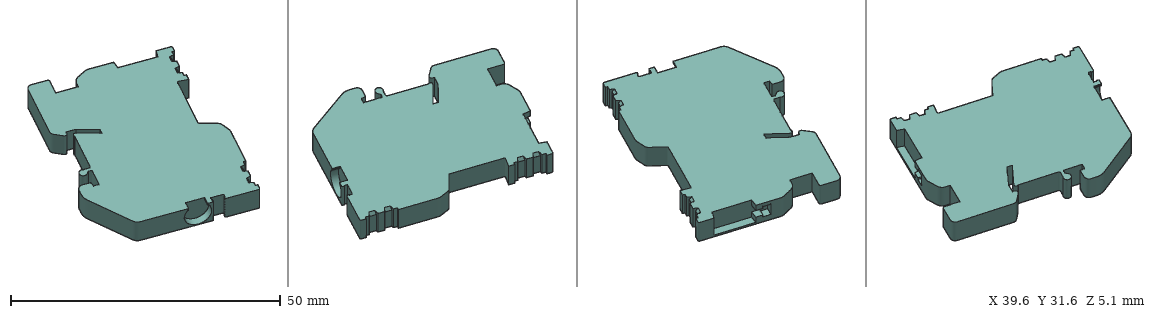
import cadquery as cq
import math


LENGTH = 39.6
HEIGHT = 31.6
THICKNESS = 5.1

FOOT_RADIUS = 1.03
SHOULDER_RADIUS = 1.6
EDGE_RADIUS = 0.3
SMALL_RADIUS = 0.2

LEFT_TOP = 28.85
MIDDLE_TOP = 26.65
SLOT_TOP = 9.0
RAIL_SEAT = 4.0
CLAW_TOP = 2.9

LEFT_SLANT_START = 11.88
LEFT_SLANT_END = 1.65
SIDE_NOTCH_DEPTH = 3.52
LEFT_FOOT_TOP = 4.5
LEFT_FOOT_ROUNDING = 0.4

CLAW_BASE = 12.95
CLAW_TIP = 14.77
CLAW_TIP_RADIUS = 0.5
SPRING_SLOT_BOTTOM_X = 13.5
SPRING_SLOT_TOP_X = 15.05
SPRING_SLOT_BEND = 4.85
SPRING_SLOT_WIDTH = 1.05
SLOT_LEAN = (SPRING_SLOT_TOP_X - SPRING_SLOT_BOTTOM_X) / (SLOT_TOP - SPRING_SLOT_BEND)
SLOT_LIP_BOTTOM = 3.9
SLOT_LIP_WIDTH = 0.87
SLOT_LIP_RADIUS = 0.3

FINGER_LEFT = 23.55
FINGER_RIGHT = 24.27
FINGER_NECK = 3.3
BALL_RADIUS = 0.8
BALL_X = 24.27
BALL_Y = 2.25
BALL_BLEND_ANGLE = math.radians(45.0)

RIGHT_CLAW_LEFT = 27.13
RIGHT_CLAW_UNDERCUT = 28.08
CLAW_TOP_DROP = 0.15
RIGHT_SLANT_START = 30.3
RIGHT_SLANT_END = 7.1
RIGHT_SLANT_LOWER_RADIUS = 2.97

SNAP_BOTTOM = 22.25
SNAP_TOP = 24.83
SNAP_DEPTH = 1.15
SNAP_LIP_LENGTH = 0.55
SNAP_LIP_HEIGHT = 0.14

FLANK_FOOT = 19.95
FLANK_KNEE_X = 21.4
FLANK_KNEE_Y = 30.5
FLANK_TOP = 23.72
FLANK_KNEE_RADIUS = 1.1
LEFT_BLOCK_RIGHT = 8.9
LEFT_BLOCK_UNDERCUT = 0.2

HOLDER_WIDTH = 6.38
HOLDER_DEPTH = 0.48
LEFT_HOLDER_X = 4.47
RIGHT_HOLDER_X = 35.15
TOOTH_PITCH = 3.1
TOOTH_NOTCH_DEPTH = 0.95
TOOTH_NOTCH_MOUTH = 1.7
TOOTH_NOTCH_FLOOR = 1.15
TOOTH_CHAMFER_RUN = 0.48
TOOTH_CHAMFER_ANGLE = 56.0

RECESS_DEPTH = 1.55
RECESS_BOTTOM = 17.3
RECESS_TOP = 25.7
RECESS_TAPER = 0.25
RECESS_FLOOR = 0.48
KEYWAY_NECK_LENGTH = 1.43
KEYWAY_NECK_WIDTH = 1.82
KEYWAY_HEAD_LENGTH = 1.6
KEYWAY_HEAD_WIDTH = 2.77
KEYWAY_Z = (RECESS_FLOOR + THICKNESS) / 2

CAVITY_DEPTH = 1.6
CAVITY_Y = 19.32
CAVITY_RADIUS = 2.7
CAVITY_FLOOR = 0.2
CAVITY_MOUTH_WIDTH = 3.75
CAVITY_LIP = 0.48


def unit_vector(start, end):
    dx = end[0] - start[0]
    dy = end[1] - start[1]
    size = math.hypot(dx, dy)
    return dx / size, dy / size


def rounded_prism(corners, thickness):
    """Extrude a closed outline of (x, y, radius) corners; radius 0 stays sharp."""
    wire = None
    for i, (x, y, radius) in enumerate(corners):
        before = unit_vector((x, y), corners[i - 1])
        after = unit_vector((x, y), corners[(i + 1) % len(corners)])
        half_angle = math.acos(before[0] * after[0] + before[1] * after[1]) / 2
        setback = radius / math.tan(half_angle)
        start = (x + before[0] * setback, y + before[1] * setback)
        wire = wire.lineTo(*start) if wire else cq.Workplane("XY").moveTo(*start)
        if radius > 0:
            bisector = unit_vector((0, 0), (before[0] + after[0], before[1] + after[1]))
            reach = radius / math.sin(half_angle) - radius
            middle = (x + bisector[0] * reach, y + bisector[1] * reach)
            end = (x + after[0] * setback, y + after[1] * setback)
            wire = wire.threePointArc(middle, end)
    return wire.close().extrude(thickness)


def plate():
    """Full-thickness housing outline, counterclockwise from the lower left corner."""
    slot_right_top = SPRING_SLOT_TOP_X + SPRING_SLOT_WIDTH
    slot_lip_x = slot_right_top - SLOT_LEAN * (SLOT_TOP - SLOT_LIP_BOTTOM)
    left_claw = [
        (0, 0, FOOT_RADIUS),
        (CLAW_BASE, 0, FOOT_RADIUS),
        (CLAW_TIP, CLAW_TOP, CLAW_TIP_RADIUS),
        (SPRING_SLOT_BOTTOM_X, CLAW_TOP, 0),
        (SPRING_SLOT_BOTTOM_X, SPRING_SLOT_BEND, 0),
        (SPRING_SLOT_TOP_X, SLOT_TOP, 0),
        (slot_right_top, SLOT_TOP, 0),
        (slot_lip_x, SLOT_LIP_BOTTOM, SLOT_LIP_RADIUS),
        (slot_lip_x + SLOT_LIP_WIDTH, SLOT_LIP_BOTTOM, 0),
        (slot_lip_x + SLOT_LIP_WIDTH, RAIL_SEAT, 0),
    ]
    ball_blend_x = BALL_X + BALL_RADIUS * math.cos(BALL_BLEND_ANGLE)
    ball_blend_y = BALL_Y + BALL_RADIUS * math.sin(BALL_BLEND_ANGLE)
    finger = [
        (FINGER_LEFT, RAIL_SEAT, EDGE_RADIUS),
        (FINGER_LEFT, BALL_Y, 0),
        (BALL_X, BALL_Y, 0),
        (ball_blend_x, ball_blend_y, 0),
        (FINGER_RIGHT, FINGER_NECK, 0),
        (FINGER_RIGHT, RAIL_SEAT, SMALL_RADIUS),
    ]
    right_claw = [
        (RIGHT_CLAW_UNDERCUT, RAIL_SEAT, 0),
        (RIGHT_CLAW_UNDERCUT, CLAW_TOP, 0),
        (RIGHT_CLAW_LEFT, CLAW_TOP - CLAW_TOP_DROP, 0),
        (RIGHT_CLAW_LEFT, 0, FOOT_RADIUS),
        (RIGHT_SLANT_START, 0, RIGHT_SLANT_LOWER_RADIUS),
        (LENGTH, RIGHT_SLANT_END, SHOULDER_RADIUS),
    ]
    snap_floor = LENGTH - SNAP_DEPTH
    lip_start = LENGTH - SNAP_LIP_LENGTH
    snap_notch = [
        (LENGTH, SNAP_BOTTOM + SNAP_LIP_HEIGHT, SMALL_RADIUS),
        (lip_start, SNAP_BOTTOM + SNAP_LIP_HEIGHT, 0),
        (lip_start, SNAP_BOTTOM, 0),
        (snap_floor, SNAP_BOTTOM, 0),
        (snap_floor, SNAP_TOP, SMALL_RADIUS),
        (lip_start, SNAP_TOP, 0),
        (lip_start, SNAP_TOP - SNAP_LIP_HEIGHT, 0),
        (LENGTH, SNAP_TOP - SNAP_LIP_HEIGHT, SMALL_RADIUS),
    ]
    top_edge = [
        (LENGTH, HEIGHT, EDGE_RADIUS),
        (FLANK_TOP, HEIGHT, SHOULDER_RADIUS),
        (FLANK_KNEE_X, FLANK_KNEE_Y, FLANK_KNEE_RADIUS),
        (FLANK_FOOT, MIDDLE_TOP, EDGE_RADIUS),
        (LEFT_BLOCK_RIGHT - LEFT_BLOCK_UNDERCUT, MIDDLE_TOP, SMALL_RADIUS),
        (LEFT_BLOCK_RIGHT, LEFT_TOP, 0),
        (0, LEFT_TOP, EDGE_RADIUS),
    ]
    left_side = [
        (0, LEFT_SLANT_START, SHOULDER_RADIUS),
        (LEFT_SLANT_END, SLOT_TOP, SHOULDER_RADIUS),
        (SIDE_NOTCH_DEPTH, SLOT_TOP, 0),
        (SIDE_NOTCH_DEPTH, LEFT_FOOT_TOP, 0),
        (0, LEFT_FOOT_TOP, LEFT_FOOT_ROUNDING),
    ]
    outline = left_claw + finger + right_claw + snap_notch + top_edge + left_side
    ball = cq.Workplane("XY").center(BALL_X, BALL_Y).circle(BALL_RADIUS).extrude(THICKNESS)
    return rounded_prism(outline, THICKNESS).union(ball)


def marker_holder(center_x, top):
    """Cutter for a shallow step with two tapered notches in a top edge at height top."""
    step_floor = top - HOLDER_DEPTH
    notch_floor = step_floor - TOOTH_NOTCH_DEPTH
    chamfer_start = notch_floor + TOOTH_CHAMFER_RUN
    chamfer_drop = TOOTH_CHAMFER_RUN * math.tan(math.radians(TOOTH_CHAMFER_ANGLE))
    cutter = (
        cq.Workplane("XY")
        .center(center_x, step_floor + HOLDER_DEPTH / 2)
        .rect(HOLDER_WIDTH, HOLDER_DEPTH)
        .extrude(THICKNESS)
    )
    floor_profile = (
        cq.Workplane("YZ", origin=(center_x - HOLDER_WIDTH / 2, 0, 0))
        .moveTo(step_floor, 0)
        .lineTo(chamfer_start, 0)
        .lineTo(chamfer_start, THICKNESS - chamfer_drop)
        .lineTo(notch_floor, THICKNESS)
        .lineTo(step_floor, THICKNESS)
        .close()
        .extrude(HOLDER_WIDTH)
    )
    for side in (-1, 1):
        notch_x = center_x + side * TOOTH_PITCH / 2
        notch = (
            cq.Workplane("XY")
            .moveTo(notch_x - TOOTH_NOTCH_MOUTH / 2, step_floor)
            .lineTo(notch_x - TOOTH_NOTCH_FLOOR / 2, notch_floor)
            .lineTo(notch_x + TOOTH_NOTCH_FLOOR / 2, notch_floor)
            .lineTo(notch_x + TOOTH_NOTCH_MOUTH / 2, step_floor)
            .close()
            .extrude(THICKNESS)
        )
        cutter = cutter.union(notch.intersect(floor_profile))
    return cutter


def side_recess():
    """Cutter for the tapered left recess, open to the top face, and its keyway."""
    recess = (
        cq.Workplane("XY", origin=(0, 0, RECESS_FLOOR))
        .moveTo(0, RECESS_BOTTOM)
        .lineTo(RECESS_DEPTH, RECESS_BOTTOM + RECESS_TAPER)
        .lineTo(RECESS_DEPTH, RECESS_TOP - RECESS_TAPER)
        .lineTo(0, RECESS_TOP)
        .close()
        .extrude(THICKNESS - RECESS_FLOOR)
    )
    neck_end = RECESS_BOTTOM - KEYWAY_NECK_LENGTH
    neck_start = RECESS_BOTTOM + RECESS_TAPER
    neck = (
        cq.Workplane("YZ")
        .center((neck_start + neck_end) / 2, KEYWAY_Z)
        .rect(neck_start - neck_end, KEYWAY_NECK_WIDTH)
        .extrude(RECESS_DEPTH)
    )
    head = (
        cq.Workplane("YZ")
        .center(neck_end - KEYWAY_HEAD_LENGTH / 2, KEYWAY_Z)
        .rect(KEYWAY_HEAD_LENGTH, KEYWAY_HEAD_WIDTH)
        .extrude(RECESS_DEPTH)
    )
    return recess.union(neck).union(head)


def round_cavity():
    """Cutter for the round cavity, its axis along X, and its narrower top mouth."""
    lip_underside = THICKNESS - CAVITY_LIP
    axis_z = CAVITY_FLOOR + CAVITY_RADIUS
    side_plane = cq.Workplane("YZ", origin=(LENGTH - CAVITY_DEPTH, CAVITY_Y, 0))
    below_lips = (
        side_plane.center(0, lip_underside / 2)
        .rect(2 * CAVITY_RADIUS, lip_underside)
        .extrude(CAVITY_DEPTH)
    )
    cylinder = side_plane.center(0, axis_z).circle(CAVITY_RADIUS).extrude(CAVITY_DEPTH)
    mouth = (
        side_plane.center(0, (axis_z + THICKNESS) / 2)
        .rect(CAVITY_MOUTH_WIDTH, THICKNESS - axis_z)
        .extrude(CAVITY_DEPTH)
    )
    return cylinder.intersect(below_lips).union(mouth)


result = (
    plate()
    .cut(marker_holder(LEFT_HOLDER_X, LEFT_TOP))
    .cut(marker_holder(RIGHT_HOLDER_X, HEIGHT))
    .cut(side_recess())
    .cut(round_cavity())
)